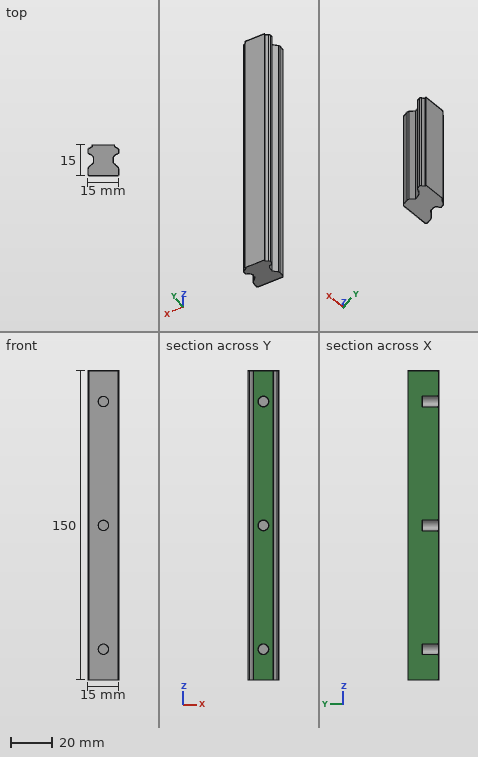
import cadquery as cq
import math

width = 15.0
height = 15.0
length = 150.0
half_width = width / 2
half_height = height / 2

base_chamfer = 0.5
shoulder_bottom_y = -4.1
shoulder_height = 0.8
shoulder_inset = 0.33
slope_angle = 43.0

waist_half_width = 4.8
waist_top_y = 0.85
groove_depth = 0.5
lip_width = 0.8
lip_height = 0.55

head_bottom_y = 3.5
head_top_y = 5.3
head_chamfer = 0.65
crown_half_width = 5.4
crown_step = 0.7
scoop_depth = 0.1

bore_diameter = 5.0
bore_depth = 8.0
bore_pitch = 60.0
bore_count = 3


def half_profile():
    """+X half of the cross-section, from the base centre up to the crown centre."""
    slope_bottom_x = half_width - shoulder_inset
    slope_bottom_y = shoulder_bottom_y + shoulder_height
    slope_rise = (slope_bottom_x - waist_half_width) * math.tan(math.radians(slope_angle))
    lip_bottom = (half_width - lip_width, head_bottom_y - lip_height)
    scoop_start = (half_width - head_chamfer, head_top_y + head_chamfer)
    scoop_end = (crown_half_width, half_height - crown_step)

    return (
        cq.Workplane("XY")
        .moveTo(0, -half_height)
        .lineTo(half_width - base_chamfer, -half_height)
        .lineTo(half_width, -half_height + base_chamfer)
        .lineTo(half_width, shoulder_bottom_y)
        .lineTo(slope_bottom_x, slope_bottom_y)
        .lineTo(waist_half_width, slope_bottom_y + slope_rise)
        .lineTo(waist_half_width, waist_top_y)
        .sagittaArc(lip_bottom, groove_depth)
        .lineTo(half_width, head_bottom_y)
        .lineTo(half_width, head_top_y)
        .lineTo(*scoop_start)
        .sagittaArc(scoop_end, scoop_depth)
        .lineTo(crown_half_width, half_height)
        .lineTo(0, half_height)
        .close()
    )


def rail_body():
    """Symmetric profile extruded along Z, centred on the origin."""
    half = half_profile().extrude(length / 2, both=True)
    return half.union(half.mirror("YZ")).clean()


def base_bores():
    """Blind bores entering the base face, spaced evenly about mid-length."""
    return (
        cq.Workplane("XZ", origin=(0, -half_height, 0))
        .rarray(1, bore_pitch, 1, bore_count)
        .circle(bore_diameter / 2)
        .extrude(-bore_depth)
    )


result = rail_body().cut(base_bores())